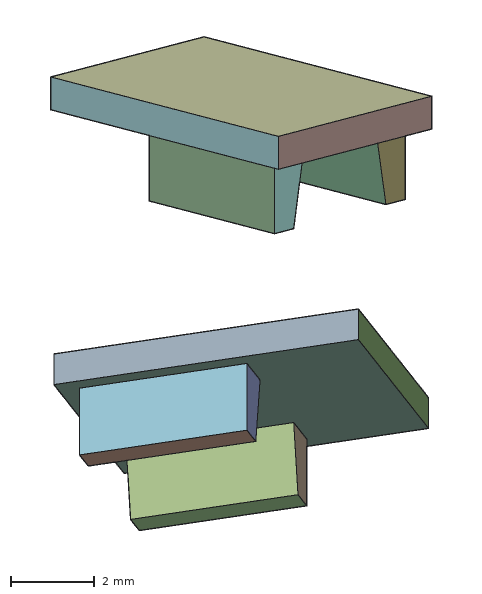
import cadquery as cq

plate_length = 7.7
plate_width = 5.2
total_height = 2.59
plate_thickness = 0.82

leg_length = 4.235
leg_end_gap = 0.515
leg_side_gap = 0.385
leg_root_width = 0.97
leg_tip_width = 0.655

leg_height = total_height - plate_thickness
leg_start_x = plate_length / 2 - leg_end_gap - leg_length
leg_outer_y = plate_width / 2 - leg_side_gap


def make_leg(side):
    """Leg with a vertical outer face and a sloped inner face; side is +1 or -1 along Y."""
    profile = [
        (side * leg_outer_y, 0),
        (side * (leg_outer_y - leg_root_width), 0),
        (side * (leg_outer_y - leg_tip_width), -leg_height),
        (side * leg_outer_y, -leg_height),
    ]
    return (
        cq.Workplane("YZ", origin=(leg_start_x, 0, 0))
        .polyline(profile)
        .close()
        .extrude(leg_length)
    )


result = cq.Workplane("XY").rect(plate_length, plate_width).extrude(plate_thickness)
for side in (-1, 1):
    result = result.union(make_leg(side))